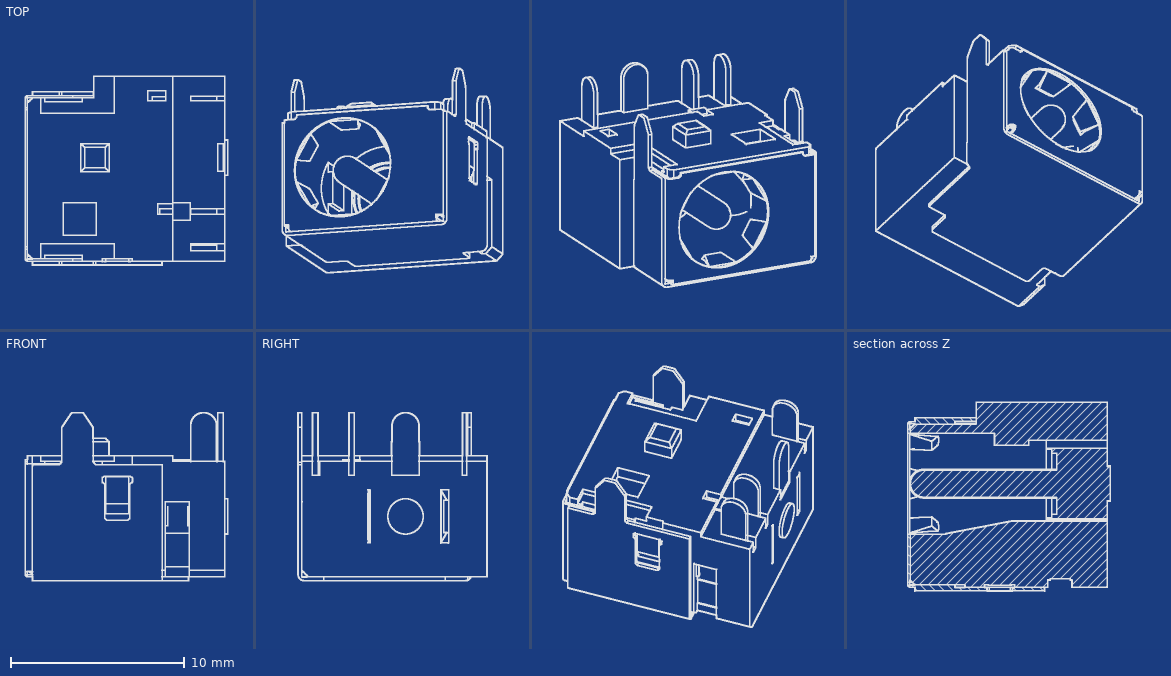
import cadquery as cq


wall = 0.22
liner = 0.14
pin_tip_z = 9.70

front_x = liner
rear_x = 11.52
left_y = 4.70
right_y = -5.98
bottom_z = wall
top_z = 7.22
shelf_x = 8.52
shelf_z = 6.89
corner_chamfer = 0.28
bottom_chamfer = 0.38
block_x = 3.96
relief_end_x = 3.31

shell_left_y = 3.80
shell_right_y = right_y - wall
wing_front_x = 0.43
wing_rear_x = 7.90
wing_top_z = 6.70
flap_left_y = shell_left_y - wall
flap_rear_x = 2.74
flap_top_z = 6.74
plate_top_z = 6.99

barrel_z = 3.71
bore_radius = 2.91
bore_floor_x = 8.0


def box(x0, x1, y0, y1, z0, z1):
    """Box between two corners."""
    return cq.Workplane("XY").box(x1 - x0, y1 - y0, z1 - z0, centered=False).translate((x0, y0, z0))


def rod(radius, x0, x1):
    """Cylinder along the barrel axis."""
    return cq.Workplane("YZ", origin=(x0, 0, barrel_z)).circle(radius).extrude(x1 - x0)


def plan_prism(points, z0, z1):
    """Prism standing on an outline in the XY plane."""
    return cq.Workplane("XY", origin=(0, 0, z0)).polyline(points).close().extrude(z1 - z0)


def cross_prism(points, x0, x1):
    """Prism along X with an outline in the YZ plane."""
    return cq.Workplane("YZ", origin=(x0, 0, 0)).polyline(points).close().extrude(x1 - x0)


def side_prism(points, y0, y1):
    """Prism along Y with an outline in the XZ plane."""
    return cq.Workplane("XZ", origin=(0, y1, 0)).polyline(points).close().extrude(y1 - y0)


side_left_y = flap_left_y - liner
relief_right_y = right_y + liner
relief_bottom_z = bottom_z + liner


def moulded_block():
    nose = box(front_x, relief_end_x, relief_right_y, side_left_y, relief_bottom_z, top_z)
    nose = nose.edges("<X and (|Z or |Y)").edges("not >Z").chamfer(corner_chamfer)
    nose = nose.edges("|X and <Z").chamfer(corner_chamfer)
    middle = box(relief_end_x, block_x, right_y, side_left_y, bottom_z, top_z)
    wide = box(block_x, rear_x, right_y, left_y, bottom_z, top_z)
    rear = middle.union(wide).edges("|X and <Y and <Z").chamfer(bottom_chamfer)
    rear = rear.cut(box(shelf_x, rear_x, right_y, left_y, shelf_z, top_z))
    return nose.union(rear)


def barrel_floor_recess():
    step_radius, step_depth = 1.97, 0.3
    inner_radius, inner_depth = 1.76, 0.6
    outer = rod(step_radius, bore_floor_x, bore_floor_x + step_depth)
    return outer.union(rod(inner_radius, bore_floor_x, bore_floor_x + inner_depth))


spring_half_height = 1.53
spring_slot_y = 2.05
spring_root_y = 3.0
left_spring_y = 2.49
right_spring_y = -2.15


def spring_slots():
    """Openings beside the barrel floor, running out through the rear."""
    low = barrel_z - spring_half_height
    high = barrel_z + spring_half_height
    left = box(bore_floor_x, rear_x, spring_slot_y, left_spring_y, low, high)
    right = box(bore_floor_x, rear_x, right_spring_y, -spring_slot_y, low, high)
    return left.union(right)


def contact_springs():
    """Contacts on the two sides of the bore: a stepped one at +Y and a ramped one at -Y."""
    low = barrel_z - spring_half_height
    high = barrel_z + spring_half_height
    tongue_x0, tongue_x1 = 5.0, 7.0
    tongue_y = 2.20
    tongue_half_height = 0.94
    ramp_start_x, ramp_start_y = 2.2, -2.88
    ramp_end_x = 6.0
    right_outline = [(ramp_start_x, -spring_root_y), (ramp_start_x, ramp_start_y),
                     (ramp_end_x, right_spring_y), (bore_floor_x, right_spring_y),
                     (bore_floor_x, -spring_root_y)]
    left = box(tongue_x0, bore_floor_x, left_spring_y, spring_root_y, low, high)
    tongue = box(tongue_x0, tongue_x1, tongue_y, left_spring_y,
                 barrel_z - tongue_half_height, barrel_z + tongue_half_height)
    return left.union(tongue).union(plan_prism(right_outline, low, high))


rib_angles = [30, 90, 150, 210, 270, 330]


def guide_rib(angle):
    """Lead-in rib in the mouth: it rises and narrows to a ridge, then falls back to the bore."""
    front, ridge, end = front_x, 1.4, 1.8
    root = 3.0
    front_height, ridge_height = 2.78, 2.52
    front_half_width, ridge_half_width = 0.87, 0.52

    def section(x, height, half_width):
        return cq.Wire.makePolygon([
            cq.Vector(x, -half_width, height), cq.Vector(x, half_width, height),
            cq.Vector(x, half_width, root), cq.Vector(x, -half_width, root)], close=True)

    mouth = section(front, front_height, front_half_width)
    crest = section(ridge, ridge_height, ridge_half_width)
    tail = section(end, bore_radius, ridge_half_width)
    rise = cq.Workplane(cq.Solid.makeLoft([mouth, crest], True))
    rib = rise.union(cq.Workplane(cq.Solid.makeLoft([crest, tail], True)))
    return rib.rotate((0, 0, 0), (1, 0, 0), angle - 90).translate((0, 0, barrel_z))


def centre_pin():
    pin_radius = 0.83
    tip_centre_x = 0.95
    tip = cq.Workplane("XY").sphere(pin_radius).translate((tip_centre_x, 0, barrel_z))
    root_depth = 1.0
    return rod(pin_radius, tip_centre_x, bore_floor_x + root_depth).union(tip)


def rear_rivet():
    rivet_radius = 1.02
    rivet_neck_radius = 0.79
    rivet_end_x = 11.70
    neck = rod(rivet_neck_radius, centre_terminal_x1, rear_x)
    return neck.union(rod(rivet_radius, rear_x, rivet_end_x))


def locating_boss():
    size = 1.63
    boss_x = 4.03
    boss_top_z = 8.23
    boss_chamfer = 0.22
    boss = box(boss_x - size / 2, boss_x + size / 2, -size / 2, size / 2, top_z, boss_top_z)
    return boss.faces(">Z").edges().chamfer(boss_chamfer)


def side_recesses():
    """Shallow recesses around the legs, each with a narrow slot beside the shell flap."""
    recess_x0, recess_x1 = 0.91, 5.13
    left_recess_y, right_recess_y = 2.56, -4.95
    slot_x0, slot_x1 = 1.15, relief_end_x
    slot_width = 0.22
    slot_floor_z = 5.9
    cuts = box(recess_x0, recess_x1, left_recess_y, left_y, shelf_z, top_z)
    cuts = cuts.union(box(recess_x0, recess_x1, right_y, right_recess_y, shelf_z, top_z))
    for slot_y in (side_left_y - slot_width, relief_right_y):
        cuts = cuts.union(box(slot_x0, slot_x1, slot_y, slot_y + slot_width, slot_floor_z, top_z))
    return cuts


def square_pocket():
    pocket_x0, pocket_x1 = 2.20, 4.12
    pocket_y0, pocket_y1 = -4.48, -2.60
    pocket_depth = 0.73
    return box(pocket_x0, pocket_x1, pocket_y0, pocket_y1, top_z - pocket_depth, top_z)


terminal_windows = [(7.08, 8.10, 3.27, 3.85, 7.32, 3.52), (7.66, shelf_x, -3.27, -2.65, 7.76, -2.94)]


def cut_terminal_windows(body):
    """Sink each window and leave the terminal edge standing on its floor."""
    window_depth = 0.50
    edge_height = 0.10
    floor_z = top_z - window_depth
    for x0, x1, y0, y1, edge_x0, edge_y1 in terminal_windows:
        body = body.cut(box(x0, x1, y0, y1, floor_z, top_z))
        body = body.union(box(edge_x0, x1, y0, edge_y1, floor_z, floor_z + edge_height))
    return body


def shelf_block():
    block_end_x = 9.53
    block_y0, block_y1 = -3.61, -2.60
    return box(shelf_x, block_end_x, block_y0, block_y1, shelf_z, plate_top_z)


latch_groove_depth = 0.14


def latch_groove():
    groove_x0, groove_x1 = 4.45, 6.17
    groove_bottom_z = 3.4
    return box(groove_x0, groove_x1, right_y, right_y + latch_groove_depth, groove_bottom_z, top_z)


def latch():
    """Latch that snaps into the shell window, with a lead-in ramp below."""
    latch_x0, latch_x1 = 4.65, 5.98
    latch_y = right_y - 0.08
    latch_top_z, ramp_top_z, ramp_bottom_z = 6.0, 4.45, 3.87
    floor_y = right_y + latch_groove_depth
    outline = [(floor_y, latch_top_z), (latch_y, latch_top_z),
               (latch_y, ramp_top_z), (floor_y, ramp_bottom_z)]
    return cross_prism(outline, latch_x0, latch_x1)


def spring_channel():
    """Stepped upright channel with a slanted window near its top."""
    channel_x0, channel_x1 = 8.09, 9.48
    channel_top_z = 4.55
    upper_step_z, middle_step_z, lower_step_z = 3.16, 2.73, 0.81
    upper_depth, middle_depth, lower_depth = 0.42, 0.60, 0.66
    floors = [(upper_step_z, channel_top_z, upper_depth), (middle_step_z, upper_step_z, middle_depth),
              (lower_step_z, middle_step_z, lower_depth), (bottom_z, lower_step_z, middle_depth)]
    window_x0, window_x1 = 8.23, 9.38
    window_top_z = 4.26
    outline = [(right_y + upper_depth, window_top_z), (right_y + upper_depth, upper_step_z),
               (right_y + middle_depth, upper_step_z)]
    channel = cross_prism(outline, window_x0, window_x1)
    for low, high, depth in floors:
        channel = channel.union(box(channel_x0, channel_x1, right_y, right_y + depth, low, high))
    return channel


terminal_x0 = 9.54
terminal_x1 = 11.05
terminal_slot_depth = 0.8
terminal_slot_floor_z = shelf_z - terminal_slot_depth
centre_terminal_x0 = 11.10
centre_terminal_x1 = 11.44
centre_terminal_half_width = 0.79
side_terminals = [(3.53, 3.28, 3.53), (-2.95, -3.27, -2.95), (-5.04, -5.37, -4.95)]


def rounded_blade(width, thickness):
    """Upright blade centred on X with a round top, front face on the XZ plane."""
    radius = width / 2
    base_z = terminal_slot_floor_z
    blade = cq.Workplane("XZ").moveTo(-radius, base_z).lineTo(-radius, pin_tip_z - radius)
    blade = blade.threePointArc((0, pin_tip_z), (radius, pin_tip_z - radius)).lineTo(radius, base_z).close()
    return blade.extrude(-thickness)


def terminal_slots():
    slots = box(centre_terminal_x0, rear_x, -centre_terminal_half_width, centre_terminal_half_width,
                terminal_slot_floor_z, shelf_z)
    for _, low_y, high_y in side_terminals:
        slots = slots.union(box(terminal_x0, rear_x, low_y, high_y, terminal_slot_floor_z, shelf_z))
    return slots


def terminals():
    blades = rounded_blade(2 * centre_terminal_half_width, centre_terminal_x1 - centre_terminal_x0)
    blades = blades.rotate((0, 0, 0), (0, 0, 1), -90).translate((centre_terminal_x0, 0, 0))
    for high_y, low_y, _ in side_terminals:
        blade = rounded_blade(terminal_x1 - terminal_x0, high_y - low_y)
        blades = blades.union(blade.translate(((terminal_x0 + terminal_x1) / 2, low_y, 0)))
    return blades


def make_housing():
    body = moulded_block().cut(rod(bore_radius, front_x, bore_floor_x))
    body = body.cut(barrel_floor_recess()).cut(spring_slots()).union(contact_springs())
    for angle in rib_angles:
        body = body.union(guide_rib(angle))
    body = body.union(centre_pin())
    body = cut_terminal_windows(body.cut(side_recesses()).cut(square_pocket()))
    body = body.union(shelf_block()).union(locating_boss())
    body = body.cut(latch_groove()).union(latch()).cut(spring_channel())
    return body.cut(terminal_slots()).union(terminals()).union(rear_rivet())


leg_x0 = 2.11
leg_x1 = 3.93


def side_wing(rear, y0):
    """Side wall with one solder leg, from the shell underside up."""
    root = 0.14
    shoulder_z = 8.84
    tip_half_width = 0.33
    tip_round = 0.15
    corner_round = 0.08
    leg_x = (leg_x0 + leg_x1) / 2
    half_width = (leg_x1 - leg_x0) / 2
    tip_x0, tip_x1 = leg_x - tip_half_width, leg_x + tip_half_width
    wing = [(wing_front_x, 0), (wing_front_x, wing_top_z), (leg_x - half_width - root, wing_top_z),
            (leg_x0, wing_top_z + root), (leg_x0, shoulder_z), (tip_x0, pin_tip_z), (tip_x1, pin_tip_z),
            (leg_x1, shoulder_z), (leg_x1, wing_top_z + root)]
    if rear > leg_x1 + root:
        wing += [(leg_x1 + root, wing_top_z), (rear, wing_top_z)]
    wing += [(rear, 0)]
    plate = side_prism(wing, y0, y0 + wall)
    plate = plate.edges("|Y and >Z").fillet(tip_round)
    front_corner = cq.selectors.NearestToPointSelector((wing_front_x, y0 + wall / 2, wing_top_z))
    return plate.edges("|Y").edges(front_corner).fillet(corner_round)


def latch_window():
    """Window for the housing latch, with relief ears at its top corners."""
    x0, x1 = 4.59, 6.05
    low, high = 3.49, 6.03
    ear_width, ear_low = 0.15, 5.60
    corner = 0.12
    window = box(x0, x1, shell_right_y, right_y, low, high).edges("|Y").edges("<Z").chamfer(corner)
    ears = box(x0 - ear_width, x1 + ear_width, shell_right_y, right_y, ear_low, high)
    return window.union(ears.edges("|Y").chamfer(corner))


tab_left_y = 2.3
tab_right_y = -4.7
tab_round = 0.2


def floor_tab():
    """Rear end of the bottom sheet, with flared roots and rounded corners."""
    tab_x1 = 9.43
    root_x1 = wing_rear_x + tab_round
    tab = box(wing_rear_x, tab_x1, tab_right_y, tab_left_y, 0, wall).edges("|Z and >X").fillet(tab_round)
    for edge_y, outward in [(tab_left_y, 1), (tab_right_y, -1)]:
        flare_y = edge_y + outward * tab_round
        low_y, high_y = sorted((edge_y, flare_y))
        flare = box(wing_rear_x, root_x1, low_y, high_y, 0, wall)
        relief = cq.Workplane("XY").center(root_x1, flare_y).circle(tab_round).extrude(wall)
        tab = tab.union(flare.cut(relief))
    return tab


def outer_channel():
    bend_radius = 0.36
    bottom = box(wing_front_x, wing_rear_x, shell_right_y, shell_left_y, 0, wall)
    channel = bottom.union(side_wing(wing_rear_x, shell_right_y))
    channel = channel.union(side_wing(block_x, flap_left_y))
    channel = channel.cut(box(block_x, wing_rear_x, flap_left_y, shell_left_y, 0, wall))
    channel = channel.edges("|X and <Z").edges("<Y or >Y").fillet(bend_radius)
    return channel.cut(latch_window()).union(floor_tab())


def plate_lip():
    """Raised middle of the front plate's top edge, with sloped roots."""
    lip_y0, lip_y1 = -5.15, 2.77
    root = 0.12
    outline = [(lip_y0 - root, flap_top_z), (lip_y0, flap_top_z + root), (lip_y0, plate_top_z),
               (lip_y1, plate_top_z), (lip_y1, flap_top_z + root), (lip_y1 + root, flap_top_z)]
    return cq.Workplane("YZ").polyline(outline).close().extrude(liner)


def front_liner():
    """Front plate with flaps folded back along both sides and the bottom, open at the lower corners."""
    bend_radius = 0.2
    corner_gap = 0.31
    tray = box(0, flap_rear_x, right_y, flap_left_y, wall, flap_top_z)
    tray = tray.edges("<X").edges("not >Z").fillet(bend_radius)
    tray = tray.cut(box(liner, flap_rear_x, relief_right_y, side_left_y, relief_bottom_z, flap_top_z))
    for corner_y in (right_y, flap_left_y - corner_gap):
        tray = tray.cut(box(0, flap_rear_x, corner_y, corner_y + corner_gap, wall, wall + corner_gap))
    return tray.union(plate_lip()).cut(rod(bore_radius, 0, liner))


def make_shell():
    return outer_channel().union(front_liner())


housing = make_housing()
shell = make_shell()
result = cq.Compound.makeCompound([housing.val(), shell.val()])